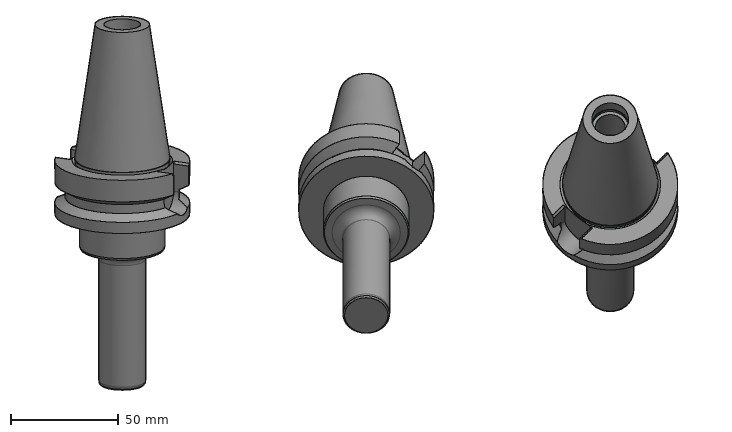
import cadquery as cq
import math

total_length = 175.4
flange_diameter = 63.0

taper_length = 65.5
taper_large_diameter = 44.5
taper_small_diameter = 25.5
neck_diameter = 43.8
relief_mouth_diameter = 46.8
gauge_z = total_length - taper_length
relief_depth = (relief_mouth_diameter - neck_diameter) / 2

flange_top_z = gauge_z - 0.9
flange_height = 26.0
upper_rim_height = 10.5
lower_rim_height = 5.5
groove_floor_diameter = 53.3
groove_flank_height = 2.8
flange_bottom_z = flange_top_z - flange_height
upper_rim_z = flange_top_z - upper_rim_height
lower_rim_z = flange_bottom_z + lower_rim_height

boss_diameter = 40.0
boss_length = 16.8
boss_chamfer_height = 1.0
boss_chamfer_width = 0.5
boss_face_drop = 0.4
shank_diameter = 22.0
shank_fillet = 4.9
shank_lead_height = 1.0
shank_lead_width = 0.2
shank_chamfer = 0.7
boss_bottom_z = flange_bottom_z - boss_length

slot_width = 16.1
slot_floor_x = 22.6
slot_depth = 22.5
slot_chamfer = 1.0

pilot_diameter = 17.0
pilot_depth = 9.0
undercut_diameter = 17.4
undercut_height = 2.1
bore_diameter = 14.0
bore_depth = 29.8
drill_point_angle = 118.0


def turned_body():
    """Revolve the half outline of the holder, from the shank tip upwards."""
    shank_radius = shank_diameter / 2
    boss_radius = boss_diameter / 2
    flange_radius = flange_diameter / 2
    groove_radius = groove_floor_diameter / 2
    neck_radius = neck_diameter / 2
    fillet_top_z = boss_bottom_z - boss_face_drop
    fillet_inset = shank_fillet * (1 - math.sqrt(0.5))
    shank_tip_radius = shank_radius - shank_lead_width
    outline = (
        cq.Workplane("XZ")
        .lineTo(shank_tip_radius - shank_chamfer, 0)
        .lineTo(shank_tip_radius, shank_chamfer)
        .lineTo(shank_radius, shank_chamfer + shank_lead_height)
        .lineTo(shank_radius, fillet_top_z - shank_fillet)
        .threePointArc(
            (shank_radius + fillet_inset, fillet_top_z - fillet_inset),
            (shank_radius + shank_fillet, fillet_top_z),
        )
        .lineTo(boss_radius - boss_chamfer_width, boss_bottom_z)
        .lineTo(boss_radius, boss_bottom_z + boss_chamfer_height)
        .lineTo(boss_radius, flange_bottom_z)
        .lineTo(flange_radius, flange_bottom_z)
        .lineTo(flange_radius, lower_rim_z)
        .lineTo(groove_radius, lower_rim_z + groove_flank_height)
        .lineTo(groove_radius, upper_rim_z - groove_flank_height)
        .lineTo(flange_radius, upper_rim_z)
        .lineTo(flange_radius, flange_top_z)
        .lineTo(relief_mouth_diameter / 2, flange_top_z)
        .lineTo(neck_radius, flange_top_z - relief_depth)
        .lineTo(neck_radius, gauge_z)
        .lineTo(taper_large_diameter / 2, gauge_z)
        .lineTo(taper_small_diameter / 2, total_length)
        .lineTo(0, total_length)
        .close()
    )
    return outline.revolve(360, (0, 0, 0), (0, 1, 0))


def drive_slot(side):
    """Round-bottomed slot with chamfered top edges; side is -1 or +1 along X."""
    half_width = slot_width / 2
    slot_bottom_z = flange_top_z - slot_depth
    arc_center_z = slot_bottom_z + half_width
    profile = (
        cq.Workplane("YZ", origin=(side * slot_floor_x, 0, 0))
        .moveTo(-half_width, arc_center_z)
        .threePointArc((0, slot_bottom_z), (half_width, arc_center_z))
        .lineTo(half_width, flange_top_z - slot_chamfer)
        .lineTo(half_width + slot_chamfer, flange_top_z)
        .lineTo(-half_width - slot_chamfer, flange_top_z)
        .lineTo(-half_width, flange_top_z - slot_chamfer)
        .close()
    )
    return profile.extrude(side * flange_diameter / 2)


def stepped_bore():
    """Pilot bore with an undercut at its foot, then a smaller drilled hole."""
    pilot_radius = pilot_diameter / 2
    undercut_radius = undercut_diameter / 2
    bore_radius = bore_diameter / 2
    pilot_bottom_z = total_length - pilot_depth
    bore_bottom_z = total_length - bore_depth
    point_height = bore_radius / math.tan(math.radians(drill_point_angle / 2))
    outline = (
        cq.Workplane("XZ")
        .moveTo(0, total_length)
        .lineTo(pilot_radius, total_length)
        .lineTo(pilot_radius, pilot_bottom_z + undercut_height)
        .lineTo(undercut_radius, pilot_bottom_z + undercut_height)
        .lineTo(undercut_radius, pilot_bottom_z)
        .lineTo(bore_radius, pilot_bottom_z)
        .lineTo(bore_radius, bore_bottom_z)
        .lineTo(0, bore_bottom_z - point_height)
        .close()
    )
    return outline.revolve(360, (0, 0, 0), (0, 1, 0))


result = turned_body().cut(stepped_bore())
for side in (-1, 1):
    result = result.cut(drive_slot(side))